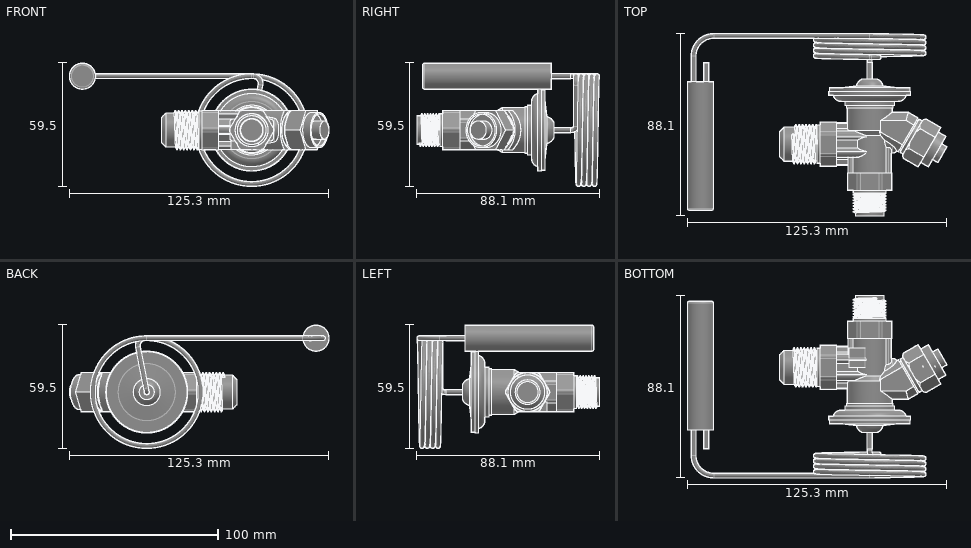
import cadquery as cq
import math


HEX_FLATS = 19.0
HEX_HALF = HEX_FLATS / 2
HEX_SIDE_HALF = HEX_HALF * math.tan(math.radians(30))
HEX_CORNER_RATIO = 1 / math.cos(math.radians(30))
HEX_EDGE_ROUND = 1.9
HEX_SIDES = 6
HALF_HEX_TURN = 180 / HEX_SIDES

COLUMN_DIAMETER = 21.8
NECK_DIAMETER = HEX_FLATS
COLUMN_TOP = 17.4
COLUMN_BOTTOM = 6.5
NECK_TOP = 4.1
COLLAR_DIAMETER = 24.0
COLLAR_GROOVE_DIAMETER = 22.5
COLLAR_BOTTOM = 18.5
COLLAR_TOP = 20.5

RIM_DIAMETER = 39.6
UPPER_RIM_DIAMETER = 39.0
PAN_TOP_DIAMETER = 35.3
PAN_BOTTOM_DIAMETER = 27.5
PAN_BULGE_RADIUS = 16.4
PAN_BULGE_LEVEL = 21.5
RIM_BOTTOM = 23.5
RIM_SPLIT = 25.3
RIM_TOP = 27.2
LID_DIAMETER = 27.5
DOME_BOTTOM = 28.0
DOME_TOP = 31.5
DOME_DIAMETER = 13.0
DOME_SHOULDER_RADIUS = 5.0
DOME_SHOULDER_LEVEL = 30.6
DOME_FLAT_RADIUS = 3.6

OUTLET_HEX_TOP = -13.9
OUTLET_HEX_BOTTOM = -22.3
OUTLET_TIP = -34.7
OUTLET_COLLAR_LENGTH = 1.4
OUTLET_THREAD_LENGTH = 10.0
OUTLET_THREAD_DIAMETER = 15.9
OUTLET_ROOT_DIAMETER = 13.9
OUTLET_PITCH = 1.4
OUTLET_BORE = 10.6
OUTLET_BORE_DEPTH = 17.5
OUTLET_MOUTH = 11.1
OUTLET_MOUTH_DEPTH = 4.4

INLET_HEX_INNER = 16.0
INLET_HEX_OUTER = 23.9
INLET_TIP = 43.6
INLET_NOSE_START = 41.3
INLET_NOSE_DIAMETER = 11.9
INLET_COLLAR_LENGTH = 1.5
INLET_THREAD_LENGTH = 12.3
INLET_THREAD_DIAMETER = 19.0
INLET_ROOT_DIAMETER = 16.5
INLET_COLLAR_DIAMETER = 18.5
INLET_PITCH = 1.6
INLET_BORE = 10.1
INLET_BORE_DEPTH = 18.8
LINK_FLATS = 18.8
LINK_EDGE_ROUND = 2.8
FLUTE_FLOOR_HALF = 1.9
FLUTE_MOUTH_HALF = 3.5
FLUTE_DEPTH = 1.9

WEB_HALF_WIDTH = 10.5
WEB_HALF_HEIGHT = 5.3
WEB_BOTTOM = OUTLET_HEX_TOP
WEB_EDGE_ROUND = 1.5
LUG_REACH = 10.0
LUG_BOTTOM = -9.3
LUG_DEPTH = 9.3
BOSS_DIAMETER = 12.5
BOSS_LEVEL = 1.9
BOSS_REACH = 13.5
BOSS_ROUND = 2.5

ARM_TILT = math.radians(30)
ARM_LEVEL = 15.2
ARM_BULGE = HEX_HALF
ARM_SHELF_LEVEL = 5.9
ARM_END = 21.4
ARM_NECK_DIAMETER = 16.5
ARM_NECK_END = 22.2
ARM_COLLAR_DIAMETER = 18.5
NUT_START = 23.9
NUT_END = 33.3
NUT_CHAMFER = 1.1
SLEEVE_DIAMETER = 17.0
SLEEVE_END = 37.6
RECESS_DIAMETER = 15.4
RECESS_DEPTH = 2.5
SPINDLE_DIAMETER = 8.9
SPINDLE_START = 30.1
SPINDLE_REACH_X = 37.3
SPINDLE_END = (SPINDLE_REACH_X - SPINDLE_DIAMETER / 2 * math.sin(ARM_TILT)) / math.cos(ARM_TILT)

TUBE_DIAMETER = 2.4
COIL_OUTER_RADIUS = 27.2
COIL_RADIUS = COIL_OUTER_RADIUS - TUBE_DIAMETER / 2
TUBE_TOP = 53.4
COIL_TOP = TUBE_TOP - TUBE_DIAMETER / 2
COIL_TURNS = 4
COIL_LENGTH = 10.3
COIL_PITCH = COIL_LENGTH / COIL_TURNS
COIL_BOTTOM = COIL_TOP - COIL_LENGTH
DROP_TILT = 11.0
DROP_BEND_RADIUS = 3.5
DOME_BEND_RADIUS = 1.9
FERRULE_DIAMETER = 2.6
FERRULE_TOP = COIL_BOTTOM - 2.5
BULB_DIAMETER = 12.7
BULB_OUTER_SIDE = -88.0
BULB_X = BULB_OUTER_SIDE + BULB_DIAMETER / 2
BULB_TOP = 30.2
BULB_BOTTOM = -32.0
BULB_END_ROUND = 1.0
BULB_TUBE_X = -84.9
BULB_BEND_RADIUS = 9.8
BULB_STUB_X = -78.8
BULB_STUB_TOP = 39.3

JOINT = 0.6
TUBE_JOINT_GAP = 0.02

THREAD_SINK = 0.1
THREAD_BASE_SHARE = 0.45
THREAD_CREST_SHARE = 0.06

VALVE_FRAME = cq.Plane((0, 0, 0), xDir=(1, 0, 0), normal=(0, 1, 0))
OUTLET_FRAME = cq.Plane((0, 0, 0), xDir=(1, 0, 0), normal=(0, -1, 0))
INLET_FRAME = cq.Plane((0, 0, 0), xDir=(0, 0, 1), normal=(-1, 0, 0))
ARM_DIRECTION = (math.cos(ARM_TILT), -math.sin(ARM_TILT), 0)
ARM_FRAME = cq.Plane((0, ARM_LEVEL, 0), xDir=(0, 0, 1), normal=ARM_DIRECTION)
COIL_FRAME = cq.Plane((0, COIL_TOP, 0), xDir=(0, 0, 1), normal=(0, -1, 0))


def cylinder(frame, diameter, start, end):
    """Round bar on a frame's axis between two distances."""
    return cq.Workplane(frame).workplane(offset=start).circle(diameter / 2).extrude(end - start)


def hex_bar(frame, start, end, turn=0, flats=HEX_FLATS, edge_round=HEX_EDGE_ROUND):
    """Hexagonal bar on a frame's axis with rounded long edges; turn 0 puts corners on the frame's X."""
    bar = cq.Workplane("XY").workplane(offset=start).polygon(HEX_SIDES, flats * HEX_CORNER_RATIO)
    bar = bar.extrude(end - start).edges("|Z").fillet(edge_round).rotate((0, 0, 0), (0, 0, 1), turn)
    return cq.Workplane(bar.val().moved(frame.location))


def thread(frame, outer, root, pitch, start, length):
    """Right-hand helical ridge, set slightly into its root cylinder."""
    root_radius = root / 2 - THREAD_SINK
    half_base = THREAD_BASE_SHARE * pitch
    crest_half = THREAD_CREST_SHARE * pitch
    path = cq.Wire.makeHelix(pitch, length - half_base, root_radius)
    ridge = (
        cq.Workplane("XZ")
        .moveTo(root_radius, -half_base)
        .lineTo(outer / 2, -crest_half)
        .lineTo(outer / 2, crest_half)
        .lineTo(root_radius, half_base)
        .close()
        .sweep(path, isFrenet=True)
        .translate((0, 0, start))
    )
    return cq.Workplane(ridge.val().moved(frame.location))


def sweep_tube(path, start, direction):
    """Capillary tube along a wire."""
    profile = cq.Workplane(cq.Plane(start, normal=direction)).circle(TUBE_DIAMETER / 2)
    return profile.sweep(cq.Workplane(path), isFrenet=True)


def make_column():
    """Turned profile of neck, column, collar, diaphragm flange and dome."""
    return (
        cq.Workplane("XY")
        .moveTo(0, OUTLET_HEX_TOP)
        .lineTo(NECK_DIAMETER / 2, OUTLET_HEX_TOP)
        .lineTo(NECK_DIAMETER / 2, NECK_TOP)
        .lineTo(COLUMN_DIAMETER / 2, COLUMN_BOTTOM)
        .lineTo(COLUMN_DIAMETER / 2, COLUMN_TOP)
        .lineTo(COLLAR_GROOVE_DIAMETER / 2, COLUMN_TOP)
        .lineTo(COLLAR_GROOVE_DIAMETER / 2, COLLAR_BOTTOM)
        .lineTo(COLLAR_DIAMETER / 2, COLLAR_BOTTOM)
        .lineTo(COLLAR_DIAMETER / 2, COLLAR_TOP)
        .lineTo(PAN_BOTTOM_DIAMETER / 2, COLLAR_TOP)
        .threePointArc((PAN_BULGE_RADIUS, PAN_BULGE_LEVEL), (PAN_TOP_DIAMETER / 2, RIM_BOTTOM))
        .lineTo(RIM_DIAMETER / 2, RIM_BOTTOM)
        .lineTo(RIM_DIAMETER / 2, RIM_SPLIT)
        .lineTo(UPPER_RIM_DIAMETER / 2, RIM_SPLIT)
        .lineTo(UPPER_RIM_DIAMETER / 2, RIM_TOP)
        .lineTo(LID_DIAMETER / 2, RIM_TOP)
        .lineTo(DOME_DIAMETER / 2, DOME_BOTTOM)
        .threePointArc((DOME_SHOULDER_RADIUS, DOME_SHOULDER_LEVEL), (DOME_FLAT_RADIUS, DOME_TOP))
        .lineTo(0, DOME_TOP)
        .close()
        .revolve(360, (0, 0, 0), (0, 1, 0))
    )


def make_outlet():
    """Hexagon, collar and threaded nipple below the neck."""
    hex_end = -OUTLET_HEX_BOTTOM
    thread_start = hex_end + OUTLET_COLLAR_LENGTH
    outlet = hex_bar(OUTLET_FRAME, -OUTLET_HEX_TOP, hex_end)
    outlet = outlet.union(cylinder(OUTLET_FRAME, OUTLET_THREAD_DIAMETER, hex_end, thread_start))
    outlet = outlet.union(cylinder(OUTLET_FRAME, OUTLET_ROOT_DIAMETER, thread_start, -OUTLET_TIP))
    return outlet.union(
        thread(
            OUTLET_FRAME,
            OUTLET_THREAD_DIAMETER,
            OUTLET_ROOT_DIAMETER,
            OUTLET_PITCH,
            thread_start,
            OUTLET_THREAD_LENGTH,
        )
    )


def make_fluted_link():
    """Hexagonal link between neck and inlet hexagon, with a flute along each flat."""
    link = hex_bar(INLET_FRAME, 0, INLET_HEX_INNER, HALF_HEX_TURN, LINK_FLATS, LINK_EDGE_ROUND)
    mouth = LINK_FLATS / 2 + FLUTE_DEPTH
    floor = LINK_FLATS / 2 - FLUTE_DEPTH
    mouth_half = 2 * FLUTE_MOUTH_HALF - FLUTE_FLOOR_HALF
    flute = (
        cq.Workplane(INLET_FRAME)
        .polyline(
            [(floor, -FLUTE_FLOOR_HALF), (mouth, -mouth_half), (mouth, mouth_half), (floor, FLUTE_FLOOR_HALF)]
        )
        .close()
        .extrude(INLET_HEX_INNER)
    )
    for flat in range(HEX_SIDES):
        link = link.cut(flute.rotate((0, 0, 0), (1, 0, 0), 2 * HALF_HEX_TURN * flat))
    return link


def make_inlet():
    """Fluted link, hexagon, collar and threaded flare nose."""
    collar_end = INLET_HEX_OUTER + INLET_COLLAR_LENGTH
    inlet = make_fluted_link()
    inlet = inlet.union(hex_bar(INLET_FRAME, INLET_HEX_INNER, INLET_HEX_OUTER, HALF_HEX_TURN))
    inlet = inlet.union(cylinder(INLET_FRAME, INLET_COLLAR_DIAMETER, INLET_HEX_OUTER, collar_end))
    inlet = inlet.union(cylinder(INLET_FRAME, INLET_ROOT_DIAMETER, collar_end, INLET_NOSE_START))
    nose = (
        cq.Workplane(INLET_FRAME)
        .workplane(offset=INLET_NOSE_START)
        .circle(INLET_ROOT_DIAMETER / 2)
        .workplane(offset=INLET_TIP - INLET_NOSE_START)
        .circle(INLET_NOSE_DIAMETER / 2)
        .loft()
    )
    inlet = inlet.union(nose)
    return inlet.union(
        thread(
            INLET_FRAME,
            INLET_THREAD_DIAMETER,
            INLET_ROOT_DIAMETER,
            INLET_PITCH,
            collar_end,
            INLET_THREAD_LENGTH,
        )
    )


def make_webs():
    """Flat web on both sides of the neck, a lug under the inlet and a boss under the arm."""
    web = (
        cq.Workplane("XY")
        .box(2 * WEB_HALF_WIDTH, -WEB_BOTTOM, 2 * WEB_HALF_HEIGHT)
        .edges("|Y")
        .fillet(WEB_EDGE_ROUND)
        .translate((0, WEB_BOTTOM / 2, 0))
    )
    lug = cq.Workplane("XY").box(LUG_REACH, -LUG_BOTTOM, LUG_DEPTH, centered=False)
    lug = lug.translate((-LUG_REACH, LUG_BOTTOM, -LUG_DEPTH))
    boss = (
        cq.Workplane("YZ")
        .center(BOSS_LEVEL, 0)
        .circle(BOSS_DIAMETER / 2)
        .extrude(BOSS_REACH)
        .faces(">X")
        .edges()
        .fillet(BOSS_ROUND)
    )
    return web.union(lug).union(boss)


def barrel_bar(plane, start, end):
    """Bar with two flat faces and two bulged sides; the plane's X is across the flats."""
    return (
        cq.Workplane(plane)
        .workplane(offset=start)
        .moveTo(HEX_HALF, -HEX_SIDE_HALF)
        .lineTo(HEX_HALF, HEX_SIDE_HALF)
        .threePointArc((0, ARM_BULGE), (-HEX_HALF, HEX_SIDE_HALF))
        .lineTo(-HEX_HALF, -HEX_SIDE_HALF)
        .threePointArc((0, -ARM_BULGE), (HEX_HALF, -HEX_SIDE_HALF))
        .close()
        .extrude(end - start)
    )


def make_arm():
    """Angled arm, trimmed level along its upper side, with collar, hexagon and open sleeve."""
    arm = barrel_bar(ARM_FRAME, 0, ARM_END)
    shelf_frame = cq.Plane((0, ARM_SHELF_LEVEL, 0), xDir=(0, 0, 1), normal=(1, 0, 0))
    trim_size = 2 * ARM_END
    shelf = barrel_bar(shelf_frame, 0, trim_size)
    below = cq.Workplane("XY").box(trim_size, trim_size, HEX_FLATS, centered=(False, False, True))
    below = below.translate((0, ARM_SHELF_LEVEL - trim_size, 0))
    arm = arm.intersect(shelf.union(below))
    arm = arm.union(cylinder(ARM_FRAME, ARM_NECK_DIAMETER, ARM_END - JOINT, ARM_NECK_END))
    arm = arm.union(cylinder(ARM_FRAME, ARM_COLLAR_DIAMETER, ARM_NECK_END, NUT_START))
    nut_cone = (
        cylinder(ARM_FRAME, HEX_FLATS * HEX_CORNER_RATIO, NUT_START, NUT_END)
        .faces(cq.selectors.DirectionMinMaxSelector(cq.Vector(*ARM_DIRECTION), False))
        .edges()
        .chamfer(NUT_CHAMFER)
    )
    nut = cq.Workplane(ARM_FRAME).workplane(offset=NUT_START).polygon(HEX_SIDES, HEX_FLATS * HEX_CORNER_RATIO)
    nut = nut.extrude(NUT_END - NUT_START).rotate(
        ARM_FRAME.origin.toTuple(), (ARM_FRAME.origin + ARM_FRAME.zDir).toTuple(), HALF_HEX_TURN
    )
    arm = arm.union(nut.intersect(nut_cone))
    return arm.union(cylinder(ARM_FRAME, SLEEVE_DIAMETER, NUT_END, SLEEVE_END))


def make_coil():
    """Close-wound helical coil of capillary, starting and ending at its highest point."""
    helix = cq.Wire.makeHelix(COIL_PITCH, COIL_LENGTH, COIL_RADIUS, lefthand=True)
    lead = COIL_PITCH / (2 * math.pi * COIL_RADIUS)
    coil = sweep_tube(helix, (COIL_RADIUS, 0, 0), (0, -1, lead))
    return cq.Workplane(coil.val().moved(COIL_FRAME.location))


def make_bulb_lead():
    """Straight capillary from the coil, bent round into the bulb."""
    start = cq.Vector(0, COIL_TOP, COIL_RADIUS)
    bend_start = cq.Vector(BULB_TUBE_X + BULB_BEND_RADIUS, COIL_TOP, COIL_RADIUS)
    bend_end = cq.Vector(BULB_TUBE_X, COIL_TOP - BULB_BEND_RADIUS, COIL_RADIUS)
    bulb_entry = cq.Vector(BULB_TUBE_X, BULB_TOP - JOINT, COIL_RADIUS)
    path = cq.Wire.assembleEdges(
        [
            cq.Edge.makeLine(start, bend_start),
            cq.Edge.makeTangentArc(bend_start, cq.Vector(-1, 0, 0), bend_end),
            cq.Edge.makeLine(bend_end, bulb_entry),
        ]
    )
    return sweep_tube(path, start.toTuple(), (-1, 0, 0))


def make_dome_lead():
    """Capillary from the coil, bent down to the valve axis and bent again into the dome."""
    tilt = math.radians(DROP_TILT)
    up = cq.Vector(math.sin(tilt), 0, math.cos(tilt))
    bend_x = ((COIL_RADIUS - DROP_BEND_RADIUS) * math.sin(tilt) - DROP_BEND_RADIUS) / math.cos(tilt)
    start = cq.Vector(0, COIL_BOTTOM, COIL_RADIUS)
    bend_start = cq.Vector(bend_x, COIL_BOTTOM, COIL_RADIUS)
    bend_end = cq.Vector(
        bend_x + DROP_BEND_RADIUS * math.cos(tilt),
        COIL_BOTTOM,
        COIL_RADIUS - DROP_BEND_RADIUS * (1 + math.sin(tilt)),
    )
    axis_point = cq.Vector(0, COIL_BOTTOM, 0)
    turn_start = axis_point + up * DOME_BEND_RADIUS
    turn_end = axis_point - cq.Vector(0, DOME_BEND_RADIUS, 0)
    dome_entry = cq.Vector(0, DOME_TOP - JOINT, 0)
    path = cq.Wire.assembleEdges(
        [
            cq.Edge.makeLine(start, bend_start),
            cq.Edge.makeTangentArc(bend_start, cq.Vector(1, 0, 0), bend_end),
            cq.Edge.makeLine(bend_end, turn_start),
            cq.Edge.makeTangentArc(turn_start, up * -1, turn_end),
            cq.Edge.makeLine(turn_end, dome_entry),
        ]
    )
    lead = sweep_tube(path, start.toTuple(), (1, 0, 0))
    return lead.union(cylinder(VALVE_FRAME, FERRULE_DIAMETER, DOME_TOP - JOINT, FERRULE_TOP))


def make_bulb():
    """Sensing bulb with a rounded lower end and a filling stub on top."""
    bulb_frame = cq.Plane((BULB_X, 0, COIL_RADIUS), xDir=(1, 0, 0), normal=(0, 1, 0))
    stub_frame = cq.Plane((BULB_STUB_X, 0, COIL_RADIUS), xDir=(1, 0, 0), normal=(0, 1, 0))
    bulb = cylinder(bulb_frame, BULB_DIAMETER, BULB_BOTTOM, BULB_TOP)
    bulb = bulb.faces("<Y").edges().fillet(BULB_END_ROUND)
    return bulb.union(cylinder(stub_frame, FERRULE_DIAMETER, BULB_TOP, BULB_STUB_TOP))


def make_valve():
    """Whole valve with capillary and bulb, bored at both ports and for the spindle."""
    valve = make_column()
    for piece in (make_webs(), make_arm(), make_inlet(), make_outlet()):
        valve = valve.union(piece)
    valve = valve.cut(cylinder(OUTLET_FRAME, OUTLET_BORE, -OUTLET_TIP - OUTLET_BORE_DEPTH, -OUTLET_TIP))
    valve = valve.cut(cylinder(OUTLET_FRAME, OUTLET_MOUTH, -OUTLET_TIP - OUTLET_MOUTH_DEPTH, -OUTLET_TIP))
    valve = valve.cut(cylinder(INLET_FRAME, INLET_BORE, INLET_TIP - INLET_BORE_DEPTH, INLET_TIP))
    valve = valve.cut(cylinder(ARM_FRAME, RECESS_DIAMETER, SLEEVE_END - RECESS_DEPTH, SLEEVE_END))
    valve = valve.cut(cylinder(ARM_FRAME, SPINDLE_DIAMETER, SPINDLE_START, SLEEVE_END))
    for piece in (make_dome_lead(), make_coil(), make_bulb_lead(), make_bulb()):
        valve = valve.union(piece, tol=TUBE_JOINT_GAP)
    return valve


def make_spindle():
    """Round setting spindle standing out of the sleeve."""
    return cylinder(ARM_FRAME, SPINDLE_DIAMETER, SPINDLE_START, SPINDLE_END)


valve = make_valve()
spindle = make_spindle()
result = cq.Compound.makeCompound([*valve.vals(), spindle.val()])